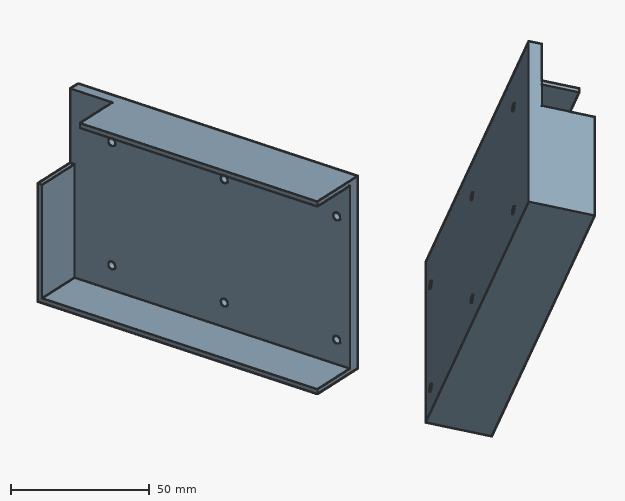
import cadquery as cq

length = 124.3
depth = 25.0
height = 78.0

plate_thickness = 5.0
wall_thickness = 2.0
wall_depth = depth - plate_thickness
end_wall_height = 48.0
top_wall_setback = 18.8

hole_diameter = 3.1
hole_spacing = 50.0
first_hole_x = 18.5
first_hole_z = 11.9
hole_columns = 3
hole_rows = 2


def box_at(x, y, z, size_x, size_y, size_z):
    """Box with its minimum corner at (x, y, z)."""
    return cq.Workplane("XY").box(size_x, size_y, size_z, centered=False).translate((x, y, z))


plate = box_at(0, wall_depth, 0, length, plate_thickness, height)

bottom_wall = box_at(0, 0, 0, length, depth, wall_thickness)
end_wall = box_at(0, 0, 0, wall_thickness, depth, end_wall_height)
top_wall = box_at(
    top_wall_setback, 0, height - wall_thickness,
    length - top_wall_setback, depth, wall_thickness,
)
tray = plate.union(bottom_wall).union(end_wall).union(top_wall)

hole_centers = [
    (first_hole_x + column * hole_spacing, first_hole_z + row * hole_spacing)
    for column in range(hole_columns)
    for row in range(hole_rows)
]
holes = (
    cq.Workplane("XZ", origin=(0, depth, 0))
    .pushPoints(hole_centers)
    .circle(hole_diameter / 2)
    .extrude(depth)
)

result = tray.cut(holes)